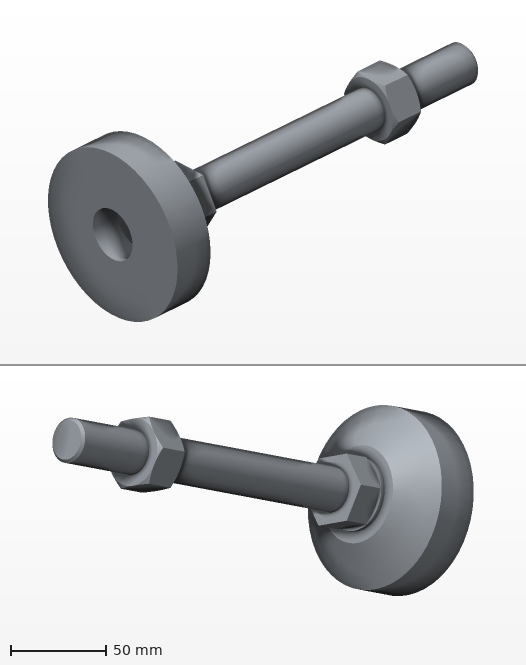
import cadquery as cq
import math

total_length = 256.0

foot_diameter = 98.0
pad_thickness = 10.0
base_rim_top = 24.0
base_top = 37.0
base_top_diameter = 52.0
socket_diameter = 30.0
socket_depth = 18.0
sleeve_diameter = 39.7

stud_diameter = 24.0
stud_chamfer = 1.5
stud_tail_diameter = 21.0

hex_across_flats = 35.8
hex_across_corners = hex_across_flats / math.cos(math.radians(30))
hex_chamfer_angle = 30.0

collar_diameter = 39.7
collar_height = 2.5
foot_hex_bottom = base_top + collar_height
foot_nut_top = 55.8

lock_nut_bottom = 187.0
lock_nut_height = 19.5


def cylinder(diameter, bottom, top):
    """Cylinder on the Y axis between two levels."""
    plane = cq.Plane(origin=(0, bottom, 0), xDir=(1, 0, 0), normal=(0, 1, 0))
    return cq.Workplane(plane).circle(diameter / 2).extrude(top - bottom)


def hexagon(bottom, top, chamfer_top):
    """Hexagon with corners on the X axis and conically chamfered end corners."""
    plane = cq.Plane(origin=(0, bottom, 0), xDir=(1, 0, 0), normal=(0, 1, 0))
    prism = cq.Workplane(plane).polygon(6, hex_across_corners).extrude(top - bottom)
    corner_radius = hex_across_corners / 2
    face_radius = hex_across_flats / 2
    drop = (corner_radius - face_radius) * math.tan(math.radians(hex_chamfer_angle))
    envelope = cq.Workplane("XY").moveTo(0, bottom).lineTo(face_radius, bottom)
    envelope = envelope.lineTo(corner_radius, bottom + drop)
    if chamfer_top:
        envelope = envelope.lineTo(corner_radius, top - drop).lineTo(face_radius, top)
    else:
        envelope = envelope.lineTo(corner_radius, top)
    envelope = envelope.lineTo(0, top).close().revolve(360, (0, 0, 0), (0, 1, 0))
    return prism.intersect(envelope)


def make_pad():
    """Flat disc under the base, with a sleeve that lines the socket up to its floor."""
    body = cylinder(foot_diameter, 0, pad_thickness)
    body = body.union(cylinder(sleeve_diameter, pad_thickness, socket_depth))
    return body.cut(cylinder(socket_diameter, 0, socket_depth))


def make_base():
    """Round base with a conical shoulder, a recess for the pad sleeve and a bore for the stud tail."""
    body = (
        cq.Workplane("XY")
        .moveTo(0, pad_thickness)
        .lineTo(foot_diameter / 2, pad_thickness)
        .lineTo(foot_diameter / 2, base_rim_top)
        .lineTo(base_top_diameter / 2, base_top)
        .lineTo(0, base_top)
        .close()
        .revolve(360, (0, 0, 0), (0, 1, 0))
    )
    body = body.cut(cylinder(sleeve_diameter, pad_thickness, socket_depth))
    return body.cut(cylinder(stud_tail_diameter, socket_depth, base_top))


def make_stud():
    """Rod with a chamfered free end and a thinner tail flush with the socket floor."""
    rod = cylinder(stud_diameter, base_top, total_length).faces(">Y").chamfer(stud_chamfer)
    return rod.union(cylinder(stud_tail_diameter, socket_depth, base_top))


def make_foot_nut():
    """Hexagon on a round collar, resting on the base."""
    body = hexagon(foot_hex_bottom, foot_nut_top, chamfer_top=False)
    body = body.union(cylinder(collar_diameter, base_top, foot_hex_bottom))
    return body.cut(cylinder(stud_diameter, base_top, foot_nut_top))


def make_lock_nut():
    """Plain hexagon nut, chamfered at both ends."""
    top = lock_nut_bottom + lock_nut_height
    body = hexagon(lock_nut_bottom, top, chamfer_top=True)
    return body.cut(cylinder(stud_diameter, lock_nut_bottom, top))


pad = make_pad()
base = make_base()
stud = make_stud()
foot_nut = make_foot_nut()
lock_nut = make_lock_nut()

result = cq.Compound.makeCompound(
    [pad.val(), base.val(), stud.val(), foot_nut.val(), lock_nut.val()]
)